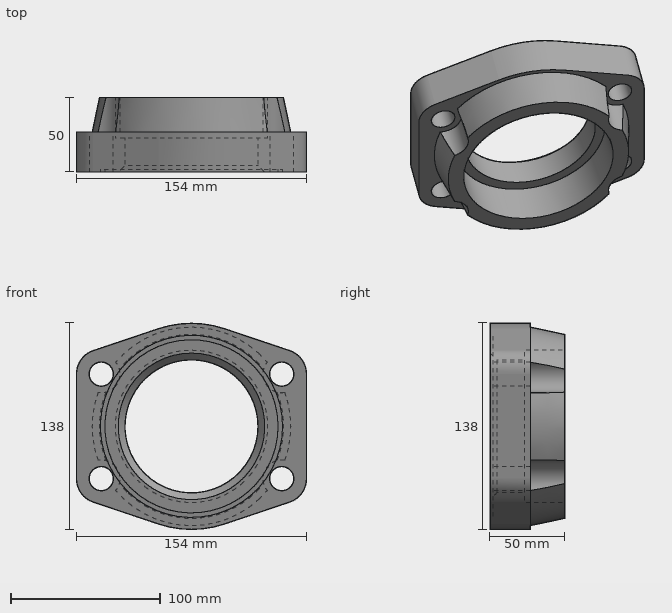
import cadquery as cq
import math

flange_width = 154.0
flange_height = 138.0
flange_thickness = 27.0
total_depth = 50.0

bolt_spacing_x = 120.7
bolt_spacing_z = 69.9
bolt_hole_diameter = 16.0
spot_face_radius = 12.5

neck_base_radius = 66.4
neck_end_radius = 61.6

bore_radius = 44.4
lead_in_radius = 49.0
lead_in_depth = lead_in_radius - bore_radius

socket_radius = 51.0
socket_depth = 27.0

groove_outer_radius = 60.9
groove_width = 3.0
groove_depth = 2.0

bolt_x = bolt_spacing_x / 2
bolt_z = bolt_spacing_z / 2
crown_radius = flange_height / 2
corner_radius = flange_width / 2 - bolt_x
neck_length = total_depth - flange_thickness
bolt_centers = [(sx * bolt_x, sz * bolt_z) for sx in (-1, 1) for sz in (-1, 1)]


def plane_at(y):
    """XZ sketch plane at depth y whose extrusions run toward +Y; local x = X, local y = -Z."""
    return cq.Workplane(cq.Plane(origin=(0, y, 0), xDir=(1, 0, 0), normal=(0, 1, 0)))


def flange_blank():
    """Plate outlined by crown and corner arcs joined by their common tangents."""
    center_distance = math.hypot(bolt_x, bolt_z)
    center_angle = math.atan2(bolt_z, bolt_x)
    normal_angle = center_angle + math.acos((crown_radius - corner_radius) / center_distance)
    normal_x = math.cos(normal_angle)
    normal_z = math.sin(normal_angle)
    crown_x = crown_radius * normal_x
    crown_z = crown_radius * normal_z
    tangent_x = bolt_x + corner_radius * normal_x
    tangent_z = bolt_z + corner_radius * normal_z
    corner_mid_x = bolt_x + corner_radius * math.cos(normal_angle / 2)
    corner_mid_z = bolt_z + corner_radius * math.sin(normal_angle / 2)
    side_x = flange_width / 2
    return (
        plane_at(0)
        .moveTo(-crown_x, crown_z)
        .threePointArc((0, crown_radius), (crown_x, crown_z))
        .lineTo(tangent_x, tangent_z)
        .threePointArc((corner_mid_x, corner_mid_z), (side_x, bolt_z))
        .lineTo(side_x, -bolt_z)
        .threePointArc((corner_mid_x, -corner_mid_z), (tangent_x, -tangent_z))
        .lineTo(crown_x, -crown_z)
        .threePointArc((0, -crown_radius), (-crown_x, -crown_z))
        .lineTo(-tangent_x, -tangent_z)
        .threePointArc((-corner_mid_x, -corner_mid_z), (-side_x, -bolt_z))
        .lineTo(-side_x, bolt_z)
        .threePointArc((-corner_mid_x, corner_mid_z), (-tangent_x, tangent_z))
        .close()
        .extrude(flange_thickness)
    )


def cone(y, length, start_radius, end_radius):
    """Cone frustum along +Y starting at depth y."""
    return cq.Workplane(
        cq.Solid.makeCone(start_radius, end_radius, length, cq.Vector(0, y, 0), cq.Vector(0, 1, 0))
    )


def neck():
    """Tapered neck, relieved around each bolt hole."""
    body = cone(flange_thickness, neck_length, neck_base_radius, neck_end_radius)
    centers = plane_at(flange_thickness).pushPoints(bolt_centers)
    reliefs = centers.circle(spot_face_radius).extrude(neck_length)
    return body.cut(reliefs)


def bolt_holes():
    """Through holes at the four bolt positions."""
    return plane_at(0).pushPoints(bolt_centers).circle(bolt_hole_diameter / 2).extrude(flange_thickness)


def bore():
    """Through bore with a conical lead-in at the front face and a pipe socket at the neck end."""
    passage = plane_at(0).circle(bore_radius).extrude(total_depth)
    lead_in = cone(0, lead_in_depth, lead_in_radius, bore_radius)
    socket = plane_at(total_depth - socket_depth).circle(socket_radius).extrude(socket_depth)
    return passage.union(lead_in).union(socket)


def seal_groove():
    """Shallow ring groove in the front face."""
    groove_inner_radius = groove_outer_radius - groove_width
    return plane_at(0).circle(groove_outer_radius).circle(groove_inner_radius).extrude(groove_depth)


result = flange_blank().union(neck()).cut(bolt_holes()).cut(bore()).cut(seal_groove())